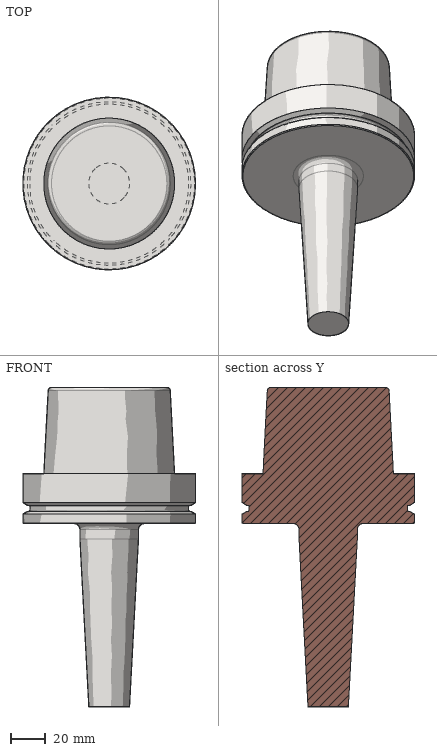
import cadquery as cq

total_length = 185.0

shank_length = 50.0
shank_top_radius = 35.3
shank_base_radius = 38.0
shank_edge_fillet = 2.0

flange_diameter = 100.0
flange_radius = flange_diameter / 2
flange_thickness = 29.0
flange_edge_chamfer = 0.5
upper_band_height = 16.8

groove_radius = 46.0
groove_mouth_width = 6.7
groove_shoulder_radius = 47.4
groove_floor_width = 3.3
groove_corner_fillet = 0.5

neck_radius = 17.0
neck_length = 8.9
neck_root_fillet = 3.3
tip_radius = 11.8

flange_top = total_length - shank_length
flange_bottom = flange_top - flange_thickness
groove_top = flange_top - upper_band_height
groove_bottom = groove_top - groove_mouth_width
groove_middle = (groove_top + groove_bottom) / 2
floor_top = groove_middle + groove_floor_width / 2
floor_bottom = groove_middle - groove_floor_width / 2
neck_bottom = flange_bottom - neck_length


def turned(points):
    """Revolve a closed (radius, height) outline about the Z axis."""
    return (
        cq.Workplane("XZ")
        .polyline(points)
        .close()
        .revolve(360, (0, 0), (0, 1))
    )


def edges_at(body, radius, height):
    """Select the circular edge of the given radius and height."""
    margin = 0.02
    reach = radius + margin
    return body.edges(
        cq.selectors.BoxSelector(
            (-reach, -reach, height - margin),
            (reach, reach, height + margin),
            boundingbox=True,
        )
    )


body = turned([
    (0, 0),
    (tip_radius, 0),
    (neck_radius, neck_bottom),
    (neck_radius, flange_bottom),
    (flange_radius, flange_bottom),
    (flange_radius, groove_bottom),
    (groove_shoulder_radius, floor_bottom),
    (groove_radius, floor_bottom),
    (groove_radius, floor_top),
    (groove_shoulder_radius, floor_top),
    (flange_radius, groove_top),
    (flange_radius, flange_top),
    (shank_base_radius, flange_top),
    (shank_top_radius, total_length),
    (0, total_length),
])

body = edges_at(body, shank_top_radius, total_length).fillet(shank_edge_fillet)

body = edges_at(body, neck_radius, flange_bottom).fillet(neck_root_fillet)

for corner_height in (floor_bottom, floor_top):
    body = edges_at(body, groove_radius, corner_height).fillet(groove_corner_fillet)

rim = body.edges(cq.selectors.RadiusNthSelector(-1)).edges("<Z")
body = rim.chamfer(flange_edge_chamfer)

result = body